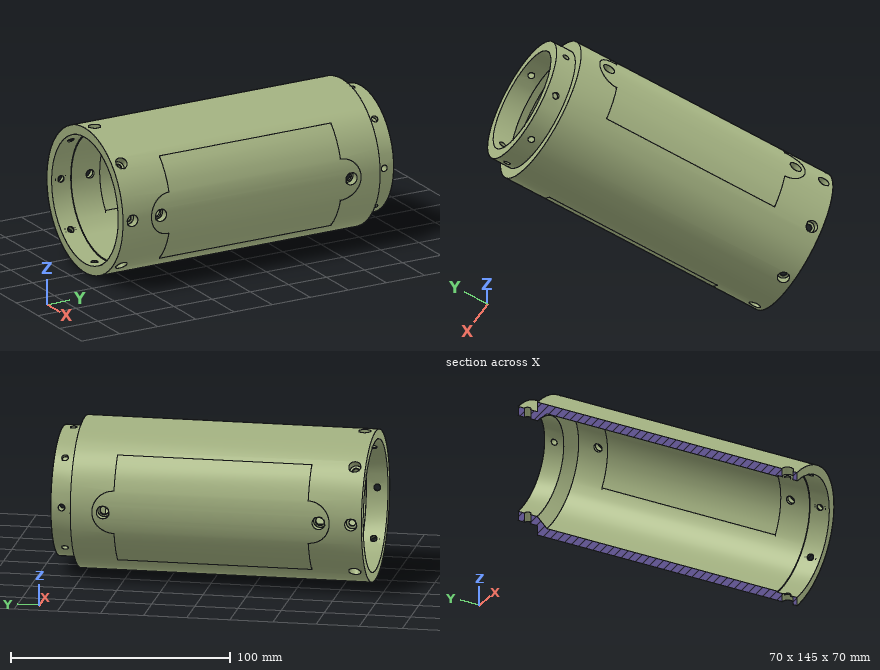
import cadquery as cq
import math

tube_length = 145.0
outer_diameter = 70.0
bore_diameter = 60.0

socket_diameter = 61.0
joint_length = 10.0

spigot_diameter = bore_diameter
neck_diameter = 50.0
neck_cone_length = (bore_diameter - neck_diameter) / 2
shoulder_y = tube_length - joint_length
cone_end_y = shoulder_y
cone_start_y = cone_end_y - neck_cone_length

joint_screw_count = 8
joint_angles = [index * 360 / joint_screw_count for index in range(joint_screw_count)]
joint_hole_diameter = 3.0
joint_head_diameter = 5.5
joint_head_depth = 3.9
joint_hole_inset = joint_length / 2
spigot_blind_depth = 1.7

cover_length = 90.0
cover_half_angle = 45.0
cover_start_y = 25.0
cover_end_y = cover_start_y + cover_length
ear_radius = 10.0
ear_thickness = 3.8
cover_hole_diameter = 5.8
thread_hole_diameter = 4.0
cover_hole_offset = ear_radius / 2
cover_screw_ys = (cover_start_y - cover_hole_offset, cover_end_y + cover_hole_offset)

outer_radius = outer_diameter / 2
bore_radius = bore_diameter / 2
cutter_start = bore_radius / 2
cover_seat_x = outer_radius * math.cos(math.radians(cover_half_angle))


def cylinder_along_y(diameter, start_y, end_y):
    """Cylinder on the tube axis, its surface seam kept at +Z, clear of the covers."""
    end_plane = cq.Plane(origin=(0, end_y, 0), xDir=(0, 0, 1), normal=(0, -1, 0))
    return cq.Workplane(end_plane).circle(diameter / 2).extrude(end_y - start_y)


def radial_cylinder(diameter, y, angle, inner_radius):
    """Cylinder pointing away from the tube axis, from inner_radius to beyond the outer surface."""
    length = outer_diameter - inner_radius
    return (
        cq.Workplane("YZ", origin=(inner_radius, y, 0))
        .circle(diameter / 2)
        .extrude(length)
        .rotate((0, 0, 0), (0, 1, 0), angle)
    )


def make_tube_blank():
    """Revolve the half section of the tube about the Y axis."""
    half_section = [
        (0, socket_diameter / 2),
        (0, outer_radius),
        (shoulder_y, outer_radius),
        (shoulder_y, spigot_diameter / 2),
        (tube_length, spigot_diameter / 2),
        (tube_length, neck_diameter / 2),
        (cone_end_y, neck_diameter / 2),
        (cone_start_y, bore_radius),
        (joint_length, bore_radius),
        (joint_length, socket_diameter / 2),
    ]
    return cq.Workplane("YZ").polyline(half_section).close().revolve(360, (0, 0, 0), (1, 0, 0))


def make_cover_blank():
    """Undrilled +X cover: a full-wall panel on flat seats at its long edges, a thinner round ear at each end."""
    wall_ring = cylinder_along_y(outer_diameter, cover_start_y, cover_end_y).cut(
        cylinder_along_y(bore_diameter, cover_start_y, cover_end_y)
    )
    panel_block = cq.Workplane("XY", origin=(cover_seat_x, cover_start_y, 0)).box(
        outer_radius, cover_length, outer_diameter, centered=(False, False, True)
    )
    cover = wall_ring.intersect(panel_block)

    ear_ring = cylinder_along_y(outer_diameter, 0, tube_length).cut(
        cylinder_along_y(outer_diameter - 2 * ear_thickness, 0, tube_length)
    )
    for ear_y in (cover_start_y, cover_end_y):
        ear = ear_ring.intersect(radial_cylinder(2 * ear_radius, ear_y, 0, 0))
        cover = cover.union(ear)
    return cover


def drill_socket_holes(tube):
    """Counterbored through holes around the socket."""
    head_floor = outer_radius - joint_head_depth
    for angle in joint_angles:
        tube = tube.cut(radial_cylinder(joint_hole_diameter, joint_hole_inset, angle, cutter_start))
        tube = tube.cut(radial_cylinder(joint_head_diameter, joint_hole_inset, angle, head_floor))
    return tube


def drill_spigot_holes(tube):
    """Plain holes around the spigot: through on the X and Z axes, blind in between."""
    spigot_hole_y = tube_length - joint_hole_inset
    blind_floor = spigot_diameter / 2 - spigot_blind_depth
    for angle in joint_angles:
        hole_floor = cutter_start if angle % 90 == 0 else blind_floor
        tube = tube.cut(radial_cylinder(joint_hole_diameter, spigot_hole_y, angle, hole_floor))
    return tube


def drill_at_ears(body, diameter):
    """Drill the two screw holes of the +X cover through the given body."""
    for y in cover_screw_ys:
        body = body.cut(radial_cylinder(diameter, y, 0, cutter_start))
    return body


def turn_half(body):
    """Turn a body half a turn about the tube axis."""
    return body.rotate((0, 0, 0), (0, 1, 0), 180)


cover_blank = make_cover_blank()
cover = drill_at_ears(cover_blank, cover_hole_diameter)
covers = [cover, turn_half(cover)]

tube = make_tube_blank()
for _ in covers:
    tube = turn_half(drill_at_ears(tube.cut(cover_blank), thread_hole_diameter))
tube = drill_spigot_holes(drill_socket_holes(tube))

result = cq.Compound.makeCompound([body.solids().val() for body in (tube, *covers)])